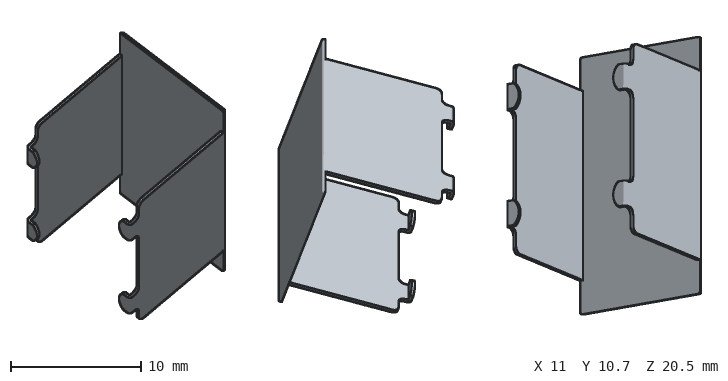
import cadquery as cq

thickness = 0.26
plate_width = 11.0
plate_height = 20.5
overall_depth = 10.69
plate_corner_radius = 0.2
back_edge_radius = 0.15

wall_height = 15.1
wall_corner_radius = 0.55

tab_height = 2.0
tab_spacing = 9.33
tab_reach = 1.17
tab_step = 1.03
tab_tip_length = 0.45
tab_root_radius = 0.55
bend_radius = thickness

half_width = plate_width / 2
back_y = overall_depth / 2
front_y = -back_y
plate_front_y = back_y - thickness
wall_front_y = front_y + tab_step
half_tab_height = tab_height / 2
tip_start = tab_reach - tab_tip_length
tab_centers = (-tab_spacing / 2, tab_spacing / 2)


def make_plate():
    """Back plate with rounded corners and a rounded rear rim."""
    plate = cq.Workplane("XY").box(plate_width, thickness, plate_height)
    plate = plate.translate((0, back_y - thickness / 2, 0))
    plate = plate.edges("|Y").fillet(plate_corner_radius)
    return plate.faces(">Y").edges().fillet(back_edge_radius)


def make_wall():
    """Flat left side wall with rounded front corners."""
    wall_depth = plate_front_y - wall_front_y
    wall = cq.Workplane("XY").box(thickness, wall_depth, wall_height)
    wall = wall.edges("|X and <Y").fillet(wall_corner_radius)
    return wall.translate((-half_width + thickness / 2, wall_front_y + wall_depth / 2, 0))


def make_tab(center_z):
    """L-shaped tab at the front of the left wall, bent inward."""
    leg = cq.Workplane("XY").box(thickness, tab_step, tab_height)
    leg = leg.translate((-half_width + thickness / 2, front_y + tab_step / 2, center_z))
    lip = (
        cq.Workplane("XZ", origin=(-half_width, front_y, center_z))
        .moveTo(0, -half_tab_height)
        .lineTo(tip_start, -half_tab_height)
        .threePointArc((tab_reach, 0), (tip_start, half_tab_height))
        .lineTo(0, half_tab_height)
        .close()
        .extrude(-thickness)
    )
    bend = (
        cq.Workplane("XY", origin=(-half_width, front_y, center_z - half_tab_height))
        .lineTo(bend_radius, 0)
        .radiusArc((0, bend_radius), bend_radius)
        .close()
        .extrude(tab_height)
    )
    return leg.union(lip).cut(bend)


def make_root_fillet(center_z, side):
    """Concave web between the wall's front edge and the upper (+1) or lower (-1) side of a tab."""
    return (
        cq.Workplane("YZ", origin=(-half_width, wall_front_y, center_z + side * half_tab_height))
        .lineTo(-tab_root_radius, 0)
        .radiusArc((0, side * tab_root_radius), -side * tab_root_radius)
        .close()
        .extrude(thickness)
    )


def make_side():
    """Complete left wall with its tabs."""
    side_wall = make_wall()
    for center_z in tab_centers:
        side_wall = side_wall.union(make_tab(center_z))
        for side in (-1, 1):
            side_wall = side_wall.union(make_root_fillet(center_z, side))
    return side_wall


left_side = make_side()
right_side = left_side.mirror("YZ")
result = make_plate().union(left_side).union(right_side)